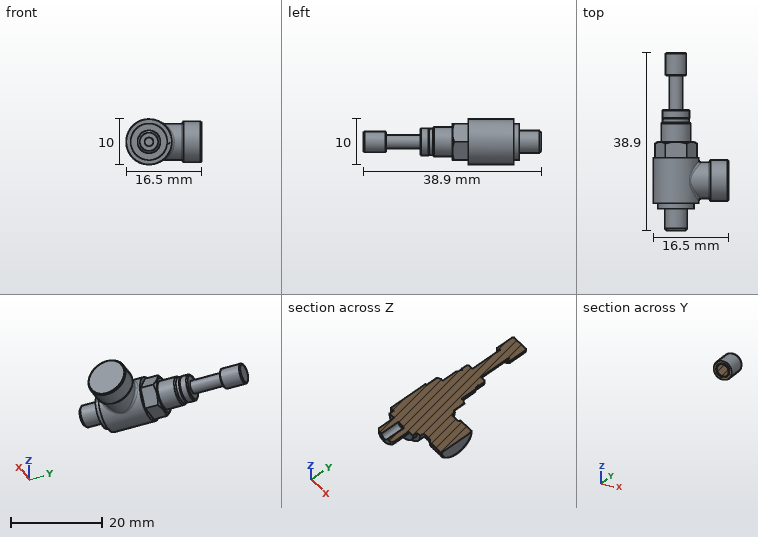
import cadquery as cq
import math


FULL_TURN = 360
ORIGIN = (0, 0, 0)
X_AXIS = (1, 0, 0)
Y_AXIS = (0, 1, 0)

body_radius = 5.0
body_length = 10.0
flange_radius = 4.0
flange_length = 1.2
spigot_radius = 2.5
spigot_length = 4.8
spigot_chamfer = 0.5
bore_radius = 0.95
bore_depth = spigot_length

hex_sides = 6
hex_across_flats = 8.0
hex_length = 3.5
hex_chamfer_angle = 30.0
hex_end_radius = 3.85
collar_radius = 3.25
collar_length = 4.26
collar_chamfer = 0.35
neck_radius = 2.95
neck_length = 0.7
cap_radius = 3.0
cap_length = 2.04
cap_chamfer = 0.3

stem_radius = 1.5
stem_length = 7.4
knob_radius = 2.3
knob_length = 5.0
knob_chamfer = 0.25
knob_recess_radius = 1.6
knob_recess_depth = 0.5

branch_radius = 4.0
branch_reach = 11.5
branch_fillet = 0.5
head_radius = 4.5
head_start = 7.45
head_chamfer = 0.25
head_inner_chamfer_length = 0.15
head_root_fillet = 0.4

body_front = -body_length / 2
body_back = body_length / 2
flange_front = body_front - flange_length
spigot_front = flange_front - spigot_length
hex_back = body_back + hex_length
collar_back = hex_back + collar_length
cap_front = collar_back + neck_length
cap_back = cap_front + cap_length
knob_front = cap_back + stem_length


def cylinder(radius, start, length):
    """Solid cylinder on the main axis, from Y = start toward +Y."""
    plane = cq.Workplane("XZ", origin=(0, start, 0))
    return plane.circle(radius).extrude(-length)


def make_body():
    """Body barrel with its side branch blended in."""
    barrel = cylinder(body_radius, body_front, body_length)
    branch = cq.Workplane("YZ").circle(branch_radius).extrude(head_start)
    tee = barrel.union(branch)
    junction = cq.selectors.BoxSelector(
        (0, -branch_radius - branch_fillet, -body_radius),
        (body_radius, branch_radius + branch_fillet, body_radius),
        boundingbox=False,
    )
    joint_edges = tee.edges(junction).edges("not(%CIRCLE or %LINE)")
    return joint_edges.fillet(branch_fillet)


def make_branch_head():
    """Enlarged branch end, with a filleted root and a chamfer at each end."""
    root_start = head_start - head_root_fillet
    root_end_radius = branch_radius + head_root_fillet
    profile = (
        cq.Workplane("XY")
        .moveTo(root_start, 0)
        .lineTo(root_start, branch_radius)
        .radiusArc((head_start, root_end_radius), -head_root_fillet)
        .lineTo(head_start + head_inner_chamfer_length, head_radius)
        .lineTo(branch_reach - head_chamfer, head_radius)
        .lineTo(branch_reach, head_radius - head_chamfer)
        .lineTo(branch_reach, 0)
        .close()
    )
    return profile.revolve(FULL_TURN, ORIGIN, X_AXIS)


def make_spigot():
    """Seat flange and bored spigot with a chamfered tip."""
    flange = cylinder(flange_radius, flange_front, flange_length)
    spigot = cylinder(spigot_radius, spigot_front, spigot_length)
    spigot = spigot.faces("<Y").chamfer(spigot_chamfer)
    bore = cylinder(bore_radius, spigot_front, bore_depth)
    return flange.union(spigot).cut(bore)


def make_hexagon():
    """Hexagon with corners on X, its outer end trimmed by a cone."""
    corner_radius = hex_across_flats / 2 / math.cos(math.pi / hex_sides)
    prism = (
        cq.Workplane("XZ", origin=(0, body_back, 0))
        .polygon(hex_sides, 2 * corner_radius)
        .extrude(-hex_length)
    )
    cone_base_radius = hex_end_radius + hex_length / math.tan(math.radians(hex_chamfer_angle))
    cone = (
        cq.Workplane("XY")
        .moveTo(0, body_back)
        .lineTo(cone_base_radius, body_back)
        .lineTo(hex_end_radius, hex_back)
        .lineTo(0, hex_back)
        .close()
        .revolve(FULL_TURN, ORIGIN, Y_AXIS)
    )
    return prism.intersect(cone)


def make_collar():
    """Collar, neck and end cap, turned as one profile."""
    profile = (
        cq.Workplane("XY")
        .moveTo(0, hex_back)
        .lineTo(collar_radius, hex_back)
        .lineTo(collar_radius, collar_back - collar_chamfer)
        .lineTo(neck_radius, collar_back)
        .lineTo(neck_radius, cap_front)
        .lineTo(cap_radius - cap_chamfer, cap_front)
        .lineTo(cap_radius, cap_front + cap_chamfer)
        .lineTo(cap_radius, cap_back - cap_chamfer)
        .lineTo(cap_radius - cap_chamfer, cap_back)
        .lineTo(0, cap_back)
        .close()
    )
    return profile.revolve(FULL_TURN, ORIGIN, Y_AXIS)


def make_knob():
    """Stem and chamfered knob, with a shallow recess where the stem enters."""
    knob = cylinder(knob_radius, knob_front, knob_length)
    knob = knob.faces("<Y or >Y").chamfer(knob_chamfer)
    recess = cylinder(knob_recess_radius, knob_front, knob_recess_depth)
    stem = cylinder(stem_radius, cap_back, stem_length + knob_recess_depth)
    return knob.cut(recess).union(stem)


result = (
    make_body()
    .union(make_branch_head())
    .union(make_spigot())
    .union(make_hexagon())
    .union(make_collar())
    .union(make_knob())
)